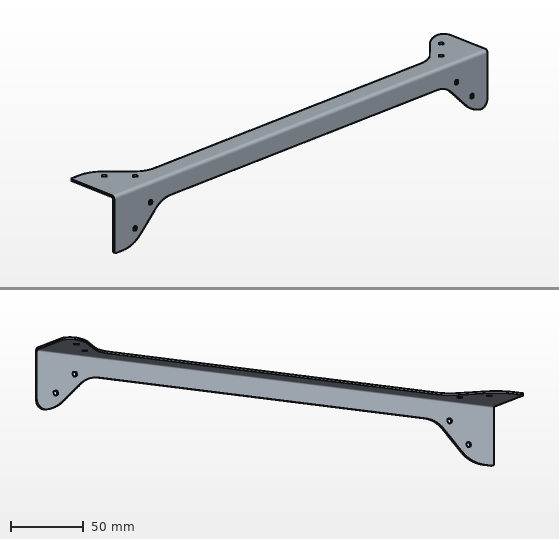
import cadquery as cq
import math

length = 361.0
leg = 43.0
thickness = 1.5
bend_inner_radius = 1.0
bend_outer_radius = bend_inner_radius + thickness

strip_width = 15.5
tip_blend_radius = 25.0
strip_blend_radius = 20.0
front_corner_radius = 1.5
back_corner_radius = 6.5

hole_diameter = 3.5
hole_pitch = 15.0
outer_hole_width = 30.2
front_hole_inset = 20.0
back_hole_inset = 15.0
flank_to_holes = 7.8

front_end = -length / 2
back_end = length / 2
front_hole_y = front_end + front_hole_inset
back_hole_y = back_end - back_hole_inset

tip_corner_offset = flank_to_holes * math.sqrt(2) - (leg - outer_hole_width)
strip_corner_offset = tip_corner_offset + leg - strip_width

flank_angle = math.radians(45)
tip_setback = tip_blend_radius * math.tan(flank_angle / 2)
strip_setback = strip_blend_radius * math.tan(flank_angle / 2)
tip_flank_setback = tip_setback * math.cos(flank_angle)
strip_flank_setback = strip_setback * math.cos(flank_angle)


def make_angle():
    """Plain bent sheet: outer corner of the bend at X = 0, Z = 0."""
    return (
        cq.Workplane("XZ", origin=(0, back_end, 0))
        .moveTo(-leg, 0)
        .lineTo(-bend_outer_radius, 0)
        .radiusArc((0, -bend_outer_radius), bend_outer_radius)
        .lineTo(0, -leg)
        .lineTo(-thickness, -leg)
        .lineTo(-thickness, -bend_outer_radius)
        .radiusArc((-bend_outer_radius, -thickness), -bend_inner_radius)
        .lineTo(-leg, -thickness)
        .close()
        .extrude(length)
    )


def leg_outline(plane):
    """Leg outline; plane X runs across the leg from the bend, plane Y along the part."""
    tip_front = front_hole_y + tip_corner_offset
    strip_front = front_hole_y + strip_corner_offset
    tip_back = back_hole_y - tip_corner_offset
    strip_back = back_hole_y - strip_corner_offset
    tip_flank_width = leg - tip_flank_setback
    strip_flank_width = strip_width + strip_flank_setback

    blend_center_width = leg - tip_blend_radius
    blend_center_y = tip_back + tip_setback
    radius_gap = tip_blend_radius - back_corner_radius
    corner_rise = back_end - back_corner_radius - blend_center_y
    corner_reach = math.sqrt(radius_gap**2 - corner_rise**2)
    corner_center_width = blend_center_width + corner_reach
    touch_point = (
        blend_center_width + tip_blend_radius * corner_reach / radius_gap,
        blend_center_y + tip_blend_radius * corner_rise / radius_gap,
    )

    return (
        cq.Workplane(plane)
        .moveTo(0, front_end)
        .lineTo(leg - front_corner_radius, front_end)
        .tangentArcPoint((leg, front_end + front_corner_radius), relative=False)
        .lineTo(leg, tip_front - tip_setback)
        .tangentArcPoint((tip_flank_width, tip_front + tip_flank_setback), relative=False)
        .lineTo(strip_flank_width, strip_front - strip_flank_setback)
        .tangentArcPoint((strip_width, strip_front + strip_setback), relative=False)
        .lineTo(strip_width, strip_back - strip_setback)
        .tangentArcPoint((strip_flank_width, strip_back + strip_flank_setback), relative=False)
        .lineTo(tip_flank_width, tip_back - tip_flank_setback)
        .tangentArcPoint(touch_point, relative=False)
        .tangentArcPoint((corner_center_width, back_end), relative=False)
        .lineTo(0, back_end)
        .close()
    )


def drill_holes(plane):
    """Hole cylinders of one leg, crossing its sheet only."""
    inner_hole_width = outer_hole_width - hole_pitch
    hole_centers = [
        (outer_hole_width, front_hole_y),
        (inner_hole_width, front_hole_y + hole_pitch),
        (outer_hole_width, back_hole_y),
        (inner_hole_width, back_hole_y - hole_pitch),
    ]
    return (
        cq.Workplane(plane)
        .pushPoints(hole_centers)
        .circle(hole_diameter / 2)
        .extrude(thickness, both=True)
    )


top_face = cq.Plane(origin=(0, 0, 0), xDir=(-1, 0, 0), normal=(0, 0, -1))
side_face = cq.Plane(origin=(0, 0, 0), xDir=(0, 0, -1), normal=(1, 0, 0))

result = make_angle()
result = result.intersect(leg_outline(top_face).extrude(leg))
result = result.intersect(leg_outline(side_face).extrude(-leg))
result = result.cut(drill_holes(top_face)).cut(drill_holes(side_face))